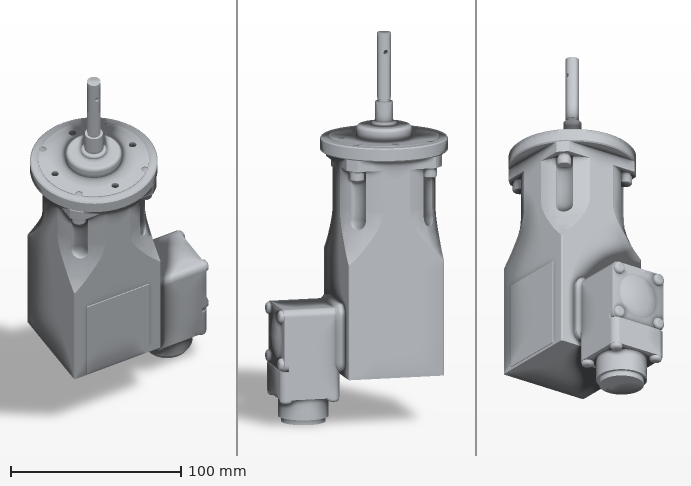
import cadquery as cq
import math


BODY_WIDTH = 58.0
BODY_EDGE_FILLET = 1.0
NECK_TOP = 124.3
NECK_BOTTOM = 99.2
NECK_RADIUS = 30.2
FLARE_RADIUS = 50.0

LABEL_WIDTH = 41.5
LABEL_BOTTOM = 1.5
LABEL_TOP = 54.3
LABEL_THICKNESS = 0.58

FLANGE_RADIUS = 37.5
FLANGE_BOTTOM = 131.0
FLANGE_TOP = 139.0
FLANGE_CHAMFER = 0.7
FACE_RADIUS = 32.5
FACE_TOP = FLANGE_TOP + 0.5
BOSS_RADIUS = 16.3
BOSS_TOP = 146.5
BOSS_FILLET = 2.3
HUB_RADIUS = 7.5
HUB_TOP = 148.5
HUB_FILLET = 1.5

TAPPED_HOLE_DIAMETER = 4.4
TAPPED_HOLE_CIRCLE_RADIUS = 26.0
TAPPED_HOLE_DEPTH = FACE_TOP - FLANGE_BOTTOM
CLAMP_OFFSET = 22.0
CLAMP_HOLE_DEPTH = 0.2
CLAMP_GROOVE_RADIUS = 5.3
CLAMP_GROOVE_BOTTOM = 93.5
CLAMP_HEAD_RADIUS = 4.1
CLAMP_HEAD_BOTTOM = 118.1
CLAMP_HEAD_TOP = 122.7
CLAMP_HEAD_CHAMFER = 0.5
CLAMP_SHANK_RADIUS = 3.7

BOX_WIDTH = 36.8
BOX_CORNER = 4.1
BOX_CENTER_Z = 22.8
BOX_START_Y = 34.3
COVER_START_Y = 62.5
COVER_END_Y = 65.5
PAD_WIDTH = 41.0
PAD_CORNER = 6.2
PAD_END_Y = 32.2
DOME_RADIUS = 13.5
DOME_HEIGHT = 2.3

OUTLET_CENTER_Y = 49.0
OUTLET_DEPTH = 36.1
OUTLET_BOTTOM = -12.5
SOCKET_RADIUS = 15.0
SOCKET_BOTTOM = -25.5
SOCKET_TIP_RADIUS = 13.1
SOCKET_TIP_BOTTOM = -28.8

COVER_SCREW_OFFSET = 14.3
COVER_SCREW_RADIUS = 3.7
COVER_SCREW_HEIGHT = 2.5
COVER_SCREW_FILLET = 1.8

COLLAR_RADIUS = 5.3
COLLAR_TOP = 160.3
ROD_RADIUS = 4.03
ROD_TOP = 201.5
RELIEF_HEIGHT = 2.0
RELIEF_DEPTH = 0.2
CROSS_HOLE_DIAMETER = 2.8
CROSS_HOLE_Z = 190.2

BODY_HALF = BODY_WIDTH / 2
CORNER_SIGNS = [(sx, sy) for sx in (-1, 1) for sy in (-1, 1)]


def disc(radius, bottom, top, x=0, y=0):
    return cq.Workplane("XY", origin=(x, y, bottom)).circle(radius).extrude(top - bottom)


def box_section(y):
    """Workplane across the connector box at the given Y, facing +Y."""
    plane = cq.Plane(origin=(0, y, BOX_CENTER_Z), xDir=(1, 0, 0), normal=(0, 1, 0))
    return cq.Workplane(plane)


def rounded_prism_along_y(width, corner, start_y, end_y):
    prism = box_section(start_y).rect(width, width).extrude(end_y - start_y)
    return prism.edges("|Y").fillet(corner)


def motor_body():
    square = cq.Workplane("XY").rect(BODY_WIDTH, BODY_WIDTH).extrude(NECK_TOP)
    square = square.edges("|Z").fillet(BODY_EDGE_FILLET)
    corner_radius = BODY_HALF * math.sqrt(2)
    arc_angle = math.acos(1 - (corner_radius - NECK_RADIUS) / FLARE_RADIUS)
    flare_bottom = NECK_BOTTOM - FLARE_RADIUS * math.sin(arc_angle)
    arc_middle = (
        NECK_RADIUS + FLARE_RADIUS * (1 - math.cos(arc_angle / 2)),
        NECK_BOTTOM - FLARE_RADIUS * math.sin(arc_angle / 2),
    )
    envelope = (
        cq.Workplane("XZ")
        .lineTo(corner_radius, 0)
        .lineTo(corner_radius, flare_bottom)
        .threePointArc(arc_middle, (NECK_RADIUS, NECK_BOTTOM))
        .lineTo(NECK_RADIUS, NECK_TOP)
        .lineTo(0, NECK_TOP)
        .close()
        .revolve(360, (0, 0, 0), (0, 1, 0))
    )
    return square.intersect(envelope)


def clamp_groove(x, y):
    ball = cq.Workplane("XY", origin=(x, y, CLAMP_GROOVE_BOTTOM)).sphere(CLAMP_GROOVE_RADIUS)
    return disc(CLAMP_GROOVE_RADIUS, CLAMP_GROOVE_BOTTOM, NECK_TOP, x, y).union(ball)


def clamp_screw(x, y):
    head = disc(CLAMP_HEAD_RADIUS, CLAMP_HEAD_BOTTOM, CLAMP_HEAD_TOP, x, y)
    head = head.faces("<Z").chamfer(CLAMP_HEAD_CHAMFER)
    return head.union(disc(CLAMP_SHANK_RADIUS, CLAMP_HEAD_TOP, FLANGE_BOTTOM, x, y))


def name_plate():
    height = LABEL_TOP - LABEL_BOTTOM
    return (
        cq.Workplane("YZ", origin=(BODY_HALF, 0, LABEL_BOTTOM + height / 2))
        .rect(LABEL_WIDTH, height)
        .extrude(LABEL_THICKNESS)
    )


def flange():
    adapter_height = FLANGE_BOTTOM - NECK_TOP
    adapter = cq.Workplane("XY", origin=(0, 0, NECK_TOP)).rect(BODY_WIDTH, BODY_WIDTH)
    adapter = adapter.extrude(adapter_height)
    adapter = adapter.intersect(disc(FLANGE_RADIUS, NECK_TOP, FLANGE_BOTTOM))
    rim = disc(FLANGE_RADIUS, FLANGE_BOTTOM, FLANGE_TOP).edges().chamfer(FLANGE_CHAMFER)
    face = disc(FACE_RADIUS, FLANGE_TOP, FACE_TOP)
    boss = disc(BOSS_RADIUS, FACE_TOP, BOSS_TOP).faces(">Z").edges().fillet(BOSS_FILLET)
    hub = disc(HUB_RADIUS, BOSS_TOP, HUB_TOP).faces(">Z").edges().fillet(HUB_FILLET)
    return adapter.union(rim).union(face).union(boss).union(hub)


def flange_holes():
    """Four tapped holes as deep as the flange and four shallow marks over the clamping screws."""
    hole_radius = TAPPED_HOLE_DIAMETER / 2
    tapped = (
        cq.Workplane("XY", origin=(0, 0, FACE_TOP))
        .polarArray(TAPPED_HOLE_CIRCLE_RADIUS, 0, 360, 4)
        .circle(hole_radius)
        .extrude(-TAPPED_HOLE_DEPTH)
    )
    clamped = (
        cq.Workplane("XY", origin=(0, 0, FACE_TOP))
        .rect(2 * CLAMP_OFFSET, 2 * CLAMP_OFFSET, forConstruction=True)
        .vertices()
        .circle(hole_radius)
        .extrude(FLANGE_TOP - CLAMP_HOLE_DEPTH - FACE_TOP)
    )
    return tapped.union(clamped)


def box_pad():
    """Pad against the motor body, tapering to the connector box."""
    pad = rounded_prism_along_y(PAD_WIDTH, PAD_CORNER, BODY_HALF, PAD_END_Y)
    box = rounded_prism_along_y(BOX_WIDTH, BOX_CORNER, BOX_START_Y, COVER_START_Y)
    wide_end = pad.faces(">Y").wires().val()
    narrow_end = box.faces("<Y").wires().val()
    taper = cq.Solid.makeLoft([wide_end, narrow_end], True)
    return pad.union(cq.Workplane(taper))


def cover_dome():
    sphere_radius = (DOME_RADIUS**2 + DOME_HEIGHT**2) / (2 * DOME_HEIGHT)
    sphere_y = COVER_END_Y + DOME_HEIGHT - sphere_radius
    ball = cq.Workplane("XY", origin=(0, sphere_y, BOX_CENTER_Z)).sphere(sphere_radius)
    return box_section(COVER_END_Y).circle(DOME_RADIUS).extrude(DOME_HEIGHT).intersect(ball)


def outlet():
    """Downward part of the connector box, with the round socket below it."""
    block = cq.Workplane("XY", origin=(0, OUTLET_CENTER_Y, OUTLET_BOTTOM))
    block = block.rect(BOX_WIDTH, OUTLET_DEPTH)
    block = block.extrude(BOX_CENTER_Z - OUTLET_BOTTOM).edges("|Z").fillet(BOX_CORNER)
    cover_space = (
        cq.Workplane("XY")
        .box(2 * BOX_WIDTH, BOX_WIDTH, BOX_WIDTH, centered=(True, False, False))
        .translate((0, COVER_START_Y, BOX_CENTER_Z - BOX_WIDTH / 2))
    )
    socket = disc(SOCKET_RADIUS, SOCKET_BOTTOM, OUTLET_BOTTOM, y=OUTLET_CENTER_Y)
    tip = disc(SOCKET_TIP_RADIUS, SOCKET_TIP_BOTTOM, SOCKET_BOTTOM, y=OUTLET_CENTER_Y)
    return block.cut(cover_space).union(socket).union(tip)


def cover_screw():
    """One domed screw head standing on Z = 0."""
    head = disc(COVER_SCREW_RADIUS, 0, COVER_SCREW_HEIGHT)
    return head.faces(">Z").edges().fillet(COVER_SCREW_FILLET)


def connector_box():
    box = rounded_prism_along_y(BOX_WIDTH, BOX_CORNER, BOX_START_Y, COVER_START_Y)
    cover = rounded_prism_along_y(BOX_WIDTH, BOX_CORNER, COVER_START_Y, COVER_END_Y)
    parts = box.union(box_pad()).union(outlet()).union(cover).union(cover_dome())
    cover_head = cover_screw().rotate((0, 0, 0), (1, 0, 0), -90)
    outlet_head = cover_screw().rotate((0, 0, 0), (1, 0, 0), 180)
    for sign_a, sign_b in CORNER_SIGNS:
        a = sign_a * COVER_SCREW_OFFSET
        b = sign_b * COVER_SCREW_OFFSET
        parts = parts.union(cover_head.translate((a, COVER_END_Y, BOX_CENTER_Z + b)))
        parts = parts.union(outlet_head.translate((a, OUTLET_CENTER_Y + b, OUTLET_BOTTOM)))
    return parts


def make_actuator():
    body = motor_body()
    for sign_x, sign_y in CORNER_SIGNS:
        body = body.cut(clamp_groove(sign_x * CLAMP_OFFSET, sign_y * CLAMP_OFFSET))
    body = body.union(flange()).cut(flange_holes())
    for sign_x, sign_y in CORNER_SIGNS:
        body = body.union(clamp_screw(sign_x * CLAMP_OFFSET, sign_y * CLAMP_OFFSET))
    return body.union(name_plate()).union(connector_box())


def make_rod():
    collar = disc(COLLAR_RADIUS, HUB_TOP, COLLAR_TOP)
    relief_top = COLLAR_TOP + RELIEF_HEIGHT
    relief = disc(ROD_RADIUS - RELIEF_DEPTH, COLLAR_TOP, relief_top)
    shaft = disc(ROD_RADIUS, relief_top, ROD_TOP)
    cross_hole = (
        cq.Workplane("YZ", origin=(0, 0, CROSS_HOLE_Z))
        .circle(CROSS_HOLE_DIAMETER / 2)
        .extrude(ROD_RADIUS, both=True)
    )
    return collar.union(relief).union(shaft).cut(cross_hole)


actuator = make_actuator()
rod = make_rod()

result = cq.Compound.makeCompound([actuator.val(), rod.val()])